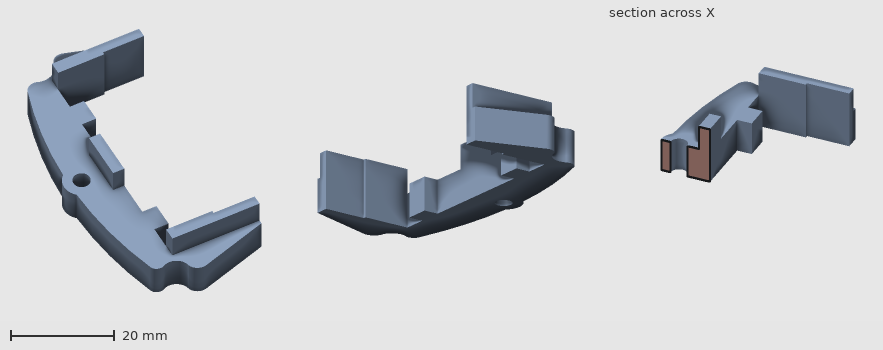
import cadquery as cq
import math

base_height = 6.95
rail_height = 5.0
total_height = base_height + rail_height

back_y = 19.0

rail_outer_x = 25.0
rail_inner_x = 22.4
rail_thin_inner_x = 22.95
rail_step_y = 10.05

tab_width = 5.0
tab_depth = 3.1
tab_center_x = 15.0

plate_width = 10.05
plate_thickness = 2.4

hole_diameter = 3.5
hole_y = -6.65
boss_radius = 3.8

front_y = -9.25
front_radius = 81.75

wing_back_x = 25.8
right_wing_start = (30.2, 4.7)
right_wing_bulge = (29.9, 2.55)
right_wing_end = (28.8, 1.65)
right_notch_middle = (26.45, -0.2)
right_notch_end = (26.5, -2.55)
right_lobe_bulge = (26.65, -4.25)
right_lobe_x = 25.4
left_wing_start = (-30.1, 5.1)
left_wing_bulge = (-29.85, 3.15)
left_wing_end = (-28.9, 2.35)
left_notch_middle = (-26.35, 0.8)
left_notch_end = (-25.9, -2.55)
left_lobe_bulge = (-26.0, -4.25)
left_lobe_x = -24.8


def front_point(x):
    """Point on the curved front face at the given X."""
    rise = front_radius - math.sqrt(front_radius**2 - x**2)
    return (x, front_y + rise)


def make_base():
    """Frame plate with a wing, a notch and a lobe on each side."""
    return (
        cq.Workplane("XY")
        .moveTo(rail_outer_x, 0)
        .lineTo(rail_outer_x, back_y)
        .lineTo(wing_back_x, back_y)
        .lineTo(*right_wing_start)
        .threePointArc(right_wing_bulge, right_wing_end)
        .threePointArc(right_notch_middle, right_notch_end)
        .threePointArc(right_lobe_bulge, front_point(right_lobe_x))
        .threePointArc(front_point(0), front_point(left_lobe_x))
        .threePointArc(left_lobe_bulge, left_notch_end)
        .threePointArc(left_notch_middle, left_wing_end)
        .threePointArc(left_wing_bulge, left_wing_start)
        .lineTo(-wing_back_x, back_y)
        .lineTo(-rail_outer_x, back_y)
        .lineTo(-rail_outer_x, 0)
        .close()
        .extrude(base_height)
    )


def make_rail(side):
    """Full-height stepped rail; side is -1 for left, 1 for right."""
    outline = [
        (rail_outer_x, 0),
        (rail_outer_x, back_y),
        (rail_thin_inner_x, back_y),
        (rail_thin_inner_x, rail_step_y),
        (rail_inner_x, rail_step_y),
        (rail_inner_x, 0),
    ]
    points = [(side * x, y) for x, y in outline]
    return cq.Workplane("XY").polyline(points).close().extrude(total_height)


def make_tab(side):
    """Tab standing out from the inner ledge, level with the base."""
    return (
        cq.Workplane("XY")
        .center(side * tab_center_x, 0)
        .rect(tab_width, 2 * tab_depth)
        .extrude(base_height)
    )


def make_plate():
    """Upright plate flush with the inner ledge."""
    return (
        cq.Workplane("XY")
        .center(0, -plate_thickness / 2)
        .rect(plate_width, plate_thickness)
        .extrude(total_height)
    )


def make_cylinder(radius, height):
    """Cylinder on the screw hole axis."""
    return cq.Workplane("XY").center(0, hole_y).circle(radius).extrude(height)


result = make_base().union(make_plate()).union(make_cylinder(boss_radius, base_height))
for side in (-1, 1):
    result = result.union(make_rail(side)).union(make_tab(side))
result = result.cut(make_cylinder(hole_diameter / 2, base_height))